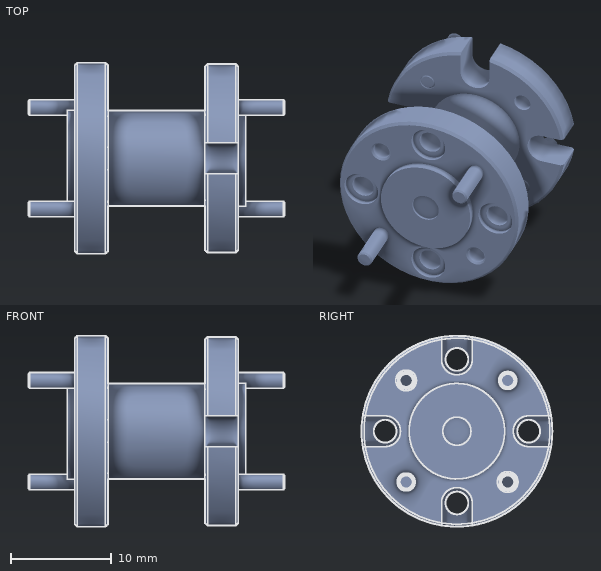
import cadquery as cq
import math

flange_diameter = 19.05
collar_diameter = 9.52
flange_thickness = 3.32
collar_overhang = 0.77
overall_length = 25.53
collar_length = 17.82
flange_chamfer = 0.25

hole_circle_radius = 7.15
quarter_turns = (0, 90, 180, 270)

screw_hole_diameter = 2.25
screw_counterbore_diameter = 3.57
screw_counterbore_depth = 0.5
slot_width = 3.06

port_diameter = 2.8
port_depth = 0.25

pin_diameter = 1.58
pin_chamfer = 0.15
socket_diameter = 1.7
socket_chamfer = 0.18
pin_hole_chamfer = 0.1
left_pin_angles = (135, 315)
right_pin_angles = (45, 225)

collar_end = collar_length / 2
flange_outer = collar_end - collar_overhang
flange_inner = flange_outer - flange_thickness
pin_end = overall_length / 2
pin_length = pin_end - flange_inner


def on_hole_circle(angle):
    """Offset from the spool axis to the hole circle; the angle in degrees runs from +Y towards +Z."""
    turn = math.radians(angle)
    return (0, hole_circle_radius * math.cos(turn), hole_circle_radius * math.sin(turn))


def disc(diameter, x_start, length):
    """Cylinder on the spool axis, running from x_start towards +X."""
    return cq.Workplane("YZ", origin=(x_start, 0, 0)).circle(diameter / 2).extrude(length)


def chamfered_hole(diameter, chamfer, side, angle):
    """Cutter for a hole through one flange with a chamfered mouth; side is -1 (left) or +1 (right)."""
    radius = diameter / 2
    profile = [
        (side * flange_inner, 0),
        (side * flange_inner, radius),
        (side * (flange_outer - chamfer), radius),
        (side * flange_outer, radius + chamfer),
        (side * flange_outer, 0),
    ]
    cutter = cq.Workplane("XY").polyline(profile).close().revolve(360, (0, 0, 0), (1, 0, 0))
    return cutter.translate(on_hole_circle(angle))


def screw_hole(angle):
    """Cutter for a counterbored screw hole through the left flange."""
    through = disc(screw_hole_diameter, -flange_outer, flange_thickness)
    counterbore = disc(screw_counterbore_diameter, -flange_outer, screw_counterbore_depth)
    return through.union(counterbore).translate(on_hole_circle(angle))


def open_slot(angle):
    """Cutter for a round-bottomed slot that opens through the rim of the right flange."""
    round_end = disc(slot_width, flange_inner, flange_thickness)
    channel = cq.Workplane("XY").box(
        flange_thickness, flange_diameter, slot_width, centered=(False, False, True)
    ).translate((flange_inner, 0, 0))
    slot = round_end.union(channel).translate((0, hole_circle_radius, 0))
    return slot.rotate((0, 0, 0), (1, 0, 0), angle)


def make_spool():
    """Collar with a flange near each end, screw holes on the left and open slots on the right."""
    spool = disc(collar_diameter, -collar_end, collar_length)
    for flange_start in (-flange_outer, flange_inner):
        flange = disc(flange_diameter, flange_start, flange_thickness)
        spool = spool.union(flange.edges().chamfer(flange_chamfer))

    for angle in quarter_turns:
        spool = spool.cut(screw_hole(angle))
        spool = spool.cut(open_slot(angle))

    for port_start in (-collar_end, collar_end - port_depth):
        spool = spool.cut(disc(port_diameter, port_start, port_depth))

    for side, pin_angles, socket_angles in (
        (-1, left_pin_angles, right_pin_angles),
        (1, right_pin_angles, left_pin_angles),
    ):
        for angle in pin_angles:
            spool = spool.cut(chamfered_hole(pin_diameter, pin_hole_chamfer, side, angle))
        for angle in socket_angles:
            spool = spool.cut(chamfered_hole(socket_diameter, socket_chamfer, side, angle))
    return spool


def make_pin(x_start, angle):
    """Dowel pin with both ends chamfered."""
    pin = disc(pin_diameter, x_start, pin_length).edges("%CIRCLE").chamfer(pin_chamfer)
    return pin.translate(on_hole_circle(angle))


spool = make_spool()

pins = []
for pin_start, pin_angles in ((-pin_end, left_pin_angles), (flange_inner, right_pin_angles)):
    for angle in pin_angles:
        pins.append(make_pin(pin_start, angle).val())

result = cq.Compound.makeCompound([spool.val(), *pins])